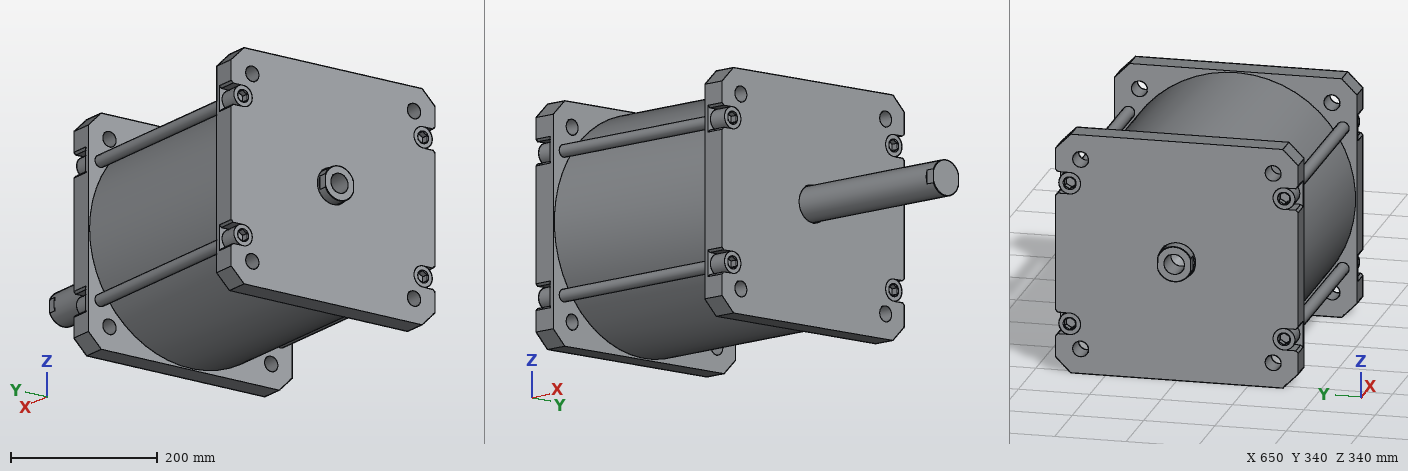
import cadquery as cq
import math

TOTAL_LENGTH = 650.0
PLATE_THICKNESS = 34.5
BARREL_LENGTH = 301.5
REAR_STUB_LENGTH = 15.0

PLATE_SIDE = 340.0
PLATE_CORNER_CHAMFER = 21.5
MOUNT_HOLE_DIAMETER = 22.0
MOUNT_HOLE_SPACING = 270.0
ROD_HOLE_DIAMETER = 52.5

BARREL_DIAMETER = 336.0

TIE_SPACING_Y = 300.0
TIE_SPACING_Z = 200.0
TIE_DIAMETER = 17.5
HEAD_DIAMETER = 30.5
HEAD_LENGTH = 28.0
POCKET_MOUTH_CHAMFER = 3.0
SOCKET_ACROSS_FLATS = 15.0
SOCKET_RIM_DIAMETER = 18.0
SOCKET_DEPTH = 12.0

ROD_DIAMETER = 50.0
ROD_END_CHAMFER = 0.5
WRENCH_FLAT_WIDTH = 46.0
WRENCH_FLAT_LENGTH = 13.0
ROD_BORE_DIAMETER = 28.5
ROD_BORE_DEPTH = 39.0
DRILL_POINT_ANGLE = 118.0

REAR_PLATE_X = REAR_STUB_LENGTH
BARREL_X = REAR_PLATE_X + PLATE_THICKNESS
FRONT_PLATE_X = BARREL_X + BARREL_LENGTH
FRONT_FACE_X = FRONT_PLATE_X + PLATE_THICKNESS
HALF_SIDE = PLATE_SIDE / 2
SIGNS = (-1, 1)
TIE_POINTS = [(sy * TIE_SPACING_Y / 2, sz * TIE_SPACING_Z / 2) for sy in SIGNS for sz in SIGNS]


def section_plane(x):
    """Plane across the axis at x, with local X along Y and local Y along Z."""
    return cq.Workplane("YZ", origin=(x, 0, 0))


def head_pocket(x, y, z):
    """Round-bottomed pocket that opens through the nearest Y side with a chamfered mouth."""
    side = math.copysign(1, y)
    radius = HEAD_DIAMETER / 2
    edge = side * HALF_SIDE
    neck = edge - side * POCKET_MOUTH_CHAMFER
    mouth = radius + POCKET_MOUTH_CHAMFER
    return (
        section_plane(x)
        .moveTo(y, z - radius)
        .lineTo(neck, z - radius)
        .lineTo(edge, z - mouth)
        .lineTo(edge, z + mouth)
        .lineTo(neck, z + radius)
        .lineTo(y, z + radius)
        .threePointArc((y - side * radius, z), (y, z - radius))
        .close()
        .extrude(HEAD_LENGTH)
    )


def end_plate(x, pocket_x):
    """Chamfered square plate starting at x, with head pockets starting at pocket_x."""
    plate = (
        section_plane(x)
        .rect(PLATE_SIDE, PLATE_SIDE)
        .extrude(PLATE_THICKNESS)
        .edges("|X")
        .chamfer(PLATE_CORNER_CHAMFER)
    )
    mount_holes = (
        section_plane(x)
        .rect(MOUNT_HOLE_SPACING, MOUNT_HOLE_SPACING, forConstruction=True)
        .vertices()
        .circle(MOUNT_HOLE_DIAMETER / 2)
        .extrude(PLATE_THICKNESS)
    )
    tie_holes = section_plane(x).pushPoints(TIE_POINTS).circle(TIE_DIAMETER / 2).extrude(PLATE_THICKNESS)
    rod_hole = section_plane(x).circle(ROD_HOLE_DIAMETER / 2).extrude(PLATE_THICKNESS)
    plate = plate.cut(mount_holes).cut(tie_holes).cut(rod_hole)
    for y, z in TIE_POINTS:
        plate = plate.cut(head_pocket(pocket_x, y, z))
    return plate


def barrel_body():
    """Round barrel between the plates, bored to carry the piston rod."""
    return section_plane(BARREL_X).circle(BARREL_DIAMETER / 2).circle(ROD_DIAMETER / 2).extrude(BARREL_LENGTH)


def hex_socket(x, y, z, direction):
    """Hexagonal socket with a 45 degree lead-in, cut from x along direction (+1 or -1)."""
    corner_diameter = SOCKET_ACROSS_FLATS / math.cos(math.pi / 6)
    rim_radius = SOCKET_RIM_DIAMETER / 2
    hexagon = (
        section_plane(x)
        .center(y, z)
        .transformed(rotate=(0, 0, 90))
        .polygon(6, corner_diameter)
        .extrude(direction * SOCKET_DEPTH)
    )
    lead_in = cq.Solid.makeCone(rim_radius, 0, rim_radius, cq.Vector(x, y, z), cq.Vector(direction, 0, 0))
    return hexagon.union(cq.Workplane(lead_in))


def tie_rod(y, z):
    """Tie rod with a round socket head flush with the outer face of each plate."""
    length = FRONT_FACE_X - REAR_PLATE_X
    rod = section_plane(REAR_PLATE_X).center(y, z).circle(TIE_DIAMETER / 2).extrude(length)
    for face_x, direction in ((REAR_PLATE_X, 1), (FRONT_FACE_X, -1)):
        head = section_plane(face_x).center(y, z).circle(HEAD_DIAMETER / 2).extrude(direction * HEAD_LENGTH)
        rod = rod.union(head).cut(hex_socket(face_x, y, z, direction))
    return rod


def wrench_flats(x):
    """Material outside the two parallel flats, starting at x."""
    return (
        section_plane(x)
        .rect(2 * ROD_DIAMETER, 2 * ROD_DIAMETER)
        .rect(WRENCH_FLAT_WIDTH, 2 * ROD_DIAMETER)
        .extrude(WRENCH_FLAT_LENGTH)
    )


def rod_bore():
    """Drilled hole in the rear end of the piston rod, with a conical bottom."""
    radius = ROD_BORE_DIAMETER / 2
    point_length = radius / math.tan(math.radians(DRILL_POINT_ANGLE / 2))
    return (
        cq.Workplane("XY")
        .polyline([(0, 0), (0, radius), (ROD_BORE_DEPTH, radius), (ROD_BORE_DEPTH + point_length, 0)])
        .close()
        .revolve(360, (0, 0, 0), (1, 0, 0))
    )


def piston_rod_body():
    """Through rod with chamfered ends, wrench flats at both ends and a rear bore."""
    rod = section_plane(0).circle(ROD_DIAMETER / 2).extrude(TOTAL_LENGTH)
    rod = rod.faces("<X or >X").chamfer(ROD_END_CHAMFER)
    for x in (0, TOTAL_LENGTH - WRENCH_FLAT_LENGTH):
        rod = rod.cut(wrench_flats(x))
    return rod.cut(rod_bore())


rear_plate = end_plate(REAR_PLATE_X, REAR_PLATE_X)
front_plate = end_plate(FRONT_PLATE_X, FRONT_FACE_X - HEAD_LENGTH)
barrel = barrel_body()
tie_rods = [tie_rod(y, z) for y, z in TIE_POINTS]
piston_rod = piston_rod_body()

result = cq.Compound.makeCompound([
    rear_plate.val(),
    front_plate.val(),
    barrel.val(),
    *[rod.val() for rod in tie_rods],
    piston_rod.val(),
])